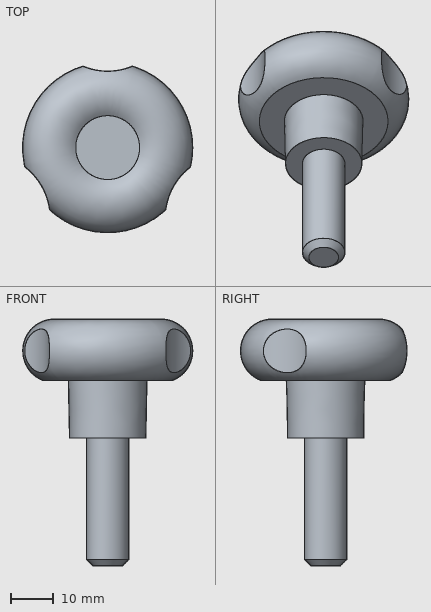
import cadquery as cq
import math

stud_diameter = 10.0
stud_length = 30.0
tip_chamfer = 1.5

hub_bottom_diameter = 18.0
hub_top_diameter = 18.5
hub_length = 13.5

total_height = 58.0
head_diameter = 40.0
rim_radius = 7.5
disc_diameter = 15.0

scallop_count = 3
first_scallop_angle = 90.0
scallop_radius = 15.0
scallop_floor_radius = 18.0

stud_radius = stud_diameter / 2
head_radius = head_diameter / 2
disc_radius = disc_diameter / 2
head_bottom_z = stud_length + hub_length
rim_center_radius = head_radius - rim_radius
rim_center_z = total_height - rim_radius


def make_head():
    disc_offset = rim_center_radius - disc_radius
    disc_z = rim_center_z + math.sqrt(rim_radius**2 - disc_offset**2)
    bottom_drop = rim_center_z - head_bottom_z
    bottom_radius = rim_center_radius + math.sqrt(rim_radius**2 - bottom_drop**2)
    profile = (
        cq.Workplane("XZ")
        .moveTo(0, head_bottom_z)
        .lineTo(bottom_radius, head_bottom_z)
        .threePointArc((head_radius, rim_center_z), (disc_radius, disc_z))
        .lineTo(0, disc_z)
        .close()
    )
    return profile.revolve(360, (0, 0), (0, 1))


def make_hub_and_stud():
    profile = (
        cq.Workplane("XZ")
        .moveTo(0, 0)
        .lineTo(stud_radius - tip_chamfer, 0)
        .lineTo(stud_radius, tip_chamfer)
        .lineTo(stud_radius, stud_length)
        .lineTo(hub_bottom_diameter / 2, stud_length)
        .lineTo(hub_top_diameter / 2, head_bottom_z)
        .lineTo(0, head_bottom_z)
        .close()
    )
    return profile.revolve(360, (0, 0), (0, 1))


def make_scallop_cutters():
    return (
        cq.Workplane("XY", origin=(0, 0, head_bottom_z))
        .polarArray(scallop_floor_radius + scallop_radius, first_scallop_angle, 360, scallop_count)
        .circle(scallop_radius)
        .extrude(total_height - head_bottom_z)
    )


result = make_head().cut(make_scallop_cutters()).union(make_hub_and_stud())